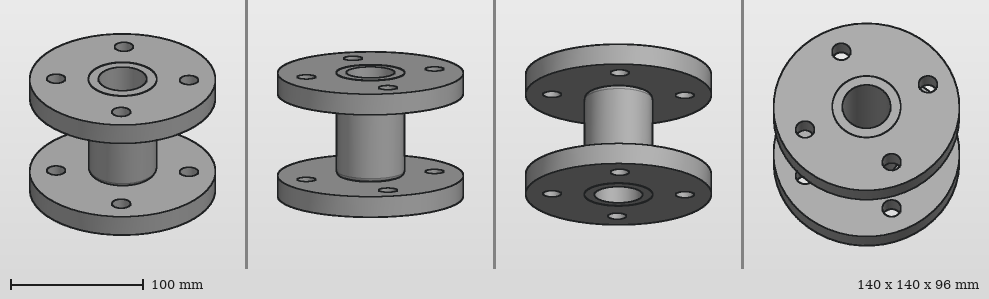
import cadquery as cq

flange_diameter = 140
total_length = 96.0
bore_diameter = 36.4

flange_thickness = 16.0
sealing_face_diameter = 51.5
sealing_face_height = 0.4

bolt_count = 4
bolt_hole_diameter = 14
bolt_circle_diameter = 100.0
bolt_start_angle = 45

body_diameter = 51.2
body_edge_radius = 3.4
neck_length = 0.4
neck_diameter = 43.1

half_length = total_length / 2
flange_outer_z = half_length - sealing_face_height
flange_inner_z = flange_outer_z - flange_thickness
body_end_z = flange_inner_z - neck_length


def disc(diameter, bottom_z, top_z):
    """Solid disc on the Z axis between two heights."""
    return cq.Workplane("XY").workplane(offset=bottom_z).circle(diameter / 2).extrude(top_z - bottom_z)


def make_upper_flange():
    """Flange plate with its sealing face on top."""
    plate = disc(flange_diameter, flange_inner_z, flange_outer_z)
    sealing_face = disc(sealing_face_diameter, flange_outer_z, half_length)
    return plate.union(sealing_face)


def make_body():
    """Tube body with rounded ends and a short neck towards each flange."""
    barrel = disc(body_diameter, -body_end_z, body_end_z).edges("%CIRCLE").fillet(body_edge_radius)
    necks = disc(neck_diameter, -flange_inner_z, flange_inner_z)
    return barrel.union(necks)


def make_bolt_holes():
    """Cutters for the bolt holes, long enough for both flanges."""
    return (
        cq.Workplane("XY")
        .polarArray(bolt_circle_diameter / 2, bolt_start_angle, 360, bolt_count)
        .circle(bolt_hole_diameter / 2)
        .extrude(half_length, both=True)
    )


upper_flange = make_upper_flange()
lower_flange = upper_flange.mirror("XY")
bore = disc(bore_diameter, -half_length, half_length)

result = make_body().union(upper_flange).union(lower_flange).cut(bore).cut(make_bolt_holes())